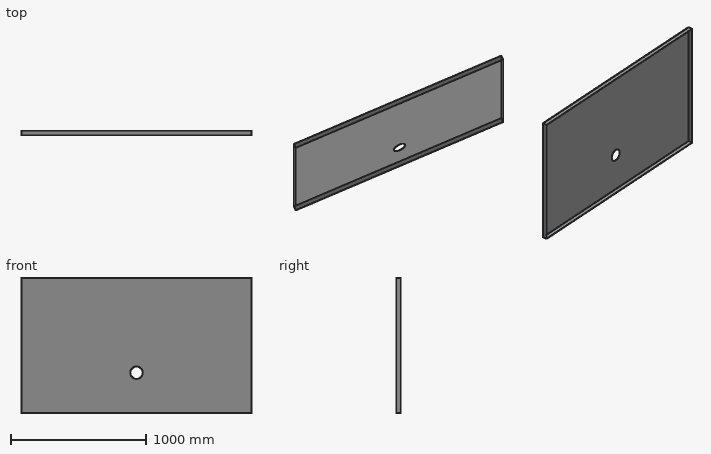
import cadquery as cq

length = 1701.0
depth = 35.0
height = 1000.0
sheet_thickness = 1.5

hole_diameter = 90.0
hole_height = 300.0


def make_panel():
    """Shallow tray with its front sheet on the -Y side."""
    outer_block = cq.Workplane("XY").box(length, depth, height)
    return outer_block.faces(">Y").shell(-sheet_thickness)


def make_hole():
    """Cylinder along Y that passes through the whole depth."""
    return (
        cq.Workplane("XZ")
        .center(0, hole_height - height / 2)
        .circle(hole_diameter / 2)
        .extrude(depth, both=True)
    )


result = make_panel().cut(make_hole())